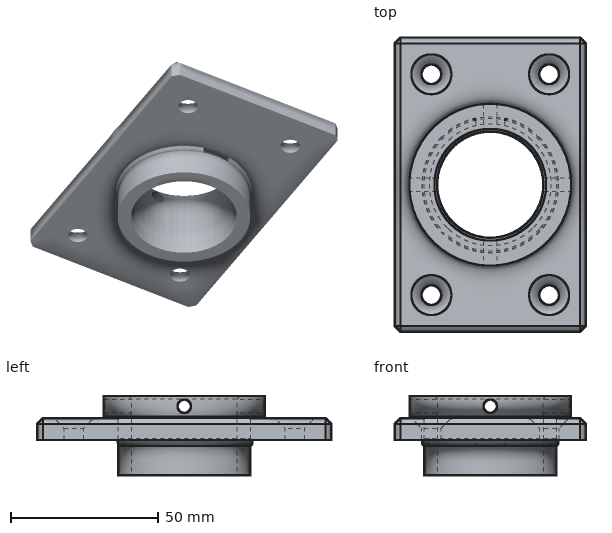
import cadquery as cq
import math


PLATE_WIDTH = 65.0
PLATE_LENGTH = 100.0
PLATE_THICKNESS = 7.5
PLATE_CHAMFER = 2.0
SEAT_CHAMFER = 0.5

SCREW_SPACING_X = 40.0
SCREW_SPACING_Y = 75.0
SCREW_HOLE_DIAMETER = 6.6
COUNTERSINK_DIAMETER = 13.6
COUNTERSINK_ANGLE = 90.0

BUSHING_LENGTH = 27.0
BUSHING_DIAMETER = 45.0
BUSHING_BOTTOM_Z = -12.0
BORE_DIAMETER = 36.0
BORE_CHAMFER = 1.0
COLLAR_DIAMETER = 55.0
COLLAR_CLEARANCE = 0.5
CROSS_HOLE_DIAMETER = 4.5

WIRE_DIAMETER = 2.5
RING_OUTER_DIAMETER = 46.4
RING_CENTER_Z = -0.75
RING_GAP_WIDTH = 10.0

COLLAR_TOP_Z = BUSHING_BOTTOM_Z + BUSHING_LENGTH
COLLAR_BOTTOM_Z = PLATE_THICKNESS + COLLAR_CLEARANCE
COLLAR_HEIGHT = COLLAR_TOP_Z - COLLAR_BOTTOM_Z
CROSS_HOLE_Z = COLLAR_BOTTOM_Z + COLLAR_HEIGHT / 2
RING_CENTER_RADIUS = (RING_OUTER_DIAMETER - WIRE_DIAMETER) / 2
GROOVE_RADIUS = RING_CENTER_RADIUS - WIRE_DIAMETER / 2


def cylinder(diameter, bottom_z, height):
    """Upright cylinder on the Z axis."""
    return cq.Workplane("XY", origin=(0, 0, bottom_z)).circle(diameter / 2).extrude(height)


def make_plate():
    """Plate with chamfered corners and top edges, a bushing hole and four screw holes."""
    blank = cq.Workplane("XY").rect(PLATE_WIDTH, PLATE_LENGTH).extrude(PLATE_THICKNESS)
    blank = blank.edges("|Z or >Z").chamfer(PLATE_CHAMFER)

    plate = blank.cut(cylinder(BUSHING_DIAMETER, 0, PLATE_THICKNESS))
    plate = plate.faces("<Z").edges("%CIRCLE").chamfer(SEAT_CHAMFER)

    return (
        plate.faces(">Z")
        .workplane(origin=(0, 0, 0))
        .rect(SCREW_SPACING_X, SCREW_SPACING_Y, forConstruction=True)
        .vertices()
        .cskHole(SCREW_HOLE_DIAMETER, COUNTERSINK_DIAMETER, COUNTERSINK_ANGLE)
    )


def make_bushing():
    """Sleeve with a collar at the top, radial holes in the collar and a ring groove."""
    sleeve = cylinder(BUSHING_DIAMETER, BUSHING_BOTTOM_Z, BUSHING_LENGTH)
    collar = cylinder(COLLAR_DIAMETER, COLLAR_BOTTOM_Z, COLLAR_HEIGHT)
    bore = cylinder(BORE_DIAMETER, BUSHING_BOTTOM_Z, BUSHING_LENGTH)
    bushing = sleeve.union(collar).cut(bore)
    bore_rim = bushing.faces(">Z").edges(cq.selectors.RadiusNthSelector(0))
    bushing = bore_rim.chamfer(BORE_CHAMFER)

    for plane in ("XZ", "YZ"):
        cross_hole = (
            cq.Workplane(plane, origin=(0, 0, CROSS_HOLE_Z))
            .circle(CROSS_HOLE_DIAMETER / 2)
            .extrude(COLLAR_DIAMETER / 2, both=True)
        )
        bushing = bushing.cut(cross_hole)

    groove = (
        cq.Workplane("XY", origin=(0, 0, RING_CENTER_Z))
        .circle(BUSHING_DIAMETER / 2)
        .circle(GROOVE_RADIUS)
        .extrude(WIRE_DIAMETER / 2, both=True)
    )
    return bushing.cut(groove)


def make_snap_ring():
    """Round wire bent to an open ring, with its gap centred on the +Y side."""
    half_gap_angle = math.degrees(math.asin(RING_GAP_WIDTH / 2 / RING_CENTER_RADIUS))
    sweep_angle = 360 - 2 * half_gap_angle
    ring = (
        cq.Workplane("XZ")
        .moveTo(RING_CENTER_RADIUS, RING_CENTER_Z)
        .circle(WIRE_DIAMETER / 2)
        .revolve(sweep_angle, (0, 0, 0), (0, 1, 0))
    )
    return ring.rotate((0, 0, 0), (0, 0, 1), 90 + half_gap_angle)


plate = make_plate()
bushing = make_bushing()
snap_ring = make_snap_ring()

result = cq.Compound.makeCompound([plate.val(), bushing.val(), snap_ring.val()])